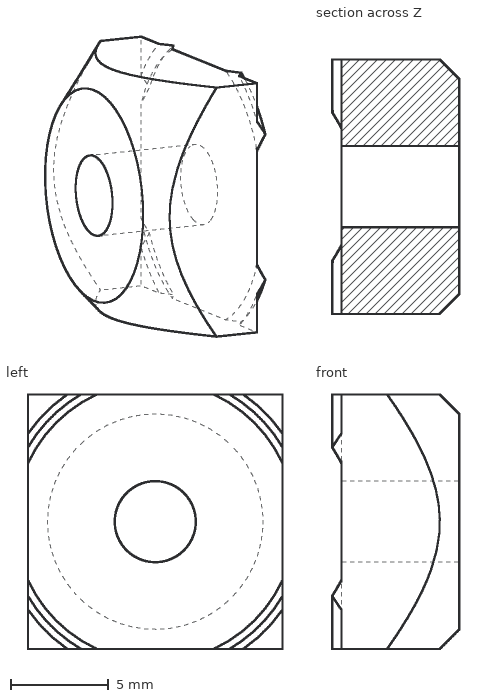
import cadquery as cq

side = 13.0
overall_length = 6.5
hole_diameter = 4.13
chamfer = 1.0

ridge_height = 0.475
ridge_inner_radius = 7.15
ridge_tip_radius = 7.525
ridge_outer_radius = 7.9

base_x = ridge_height
end_face_radius = side / 2 - chamfer
cone_base_radius = end_face_radius + overall_length - base_x


def turned_body():
    """Solid of revolution about X with the ridge at one end and the cone at the other."""
    profile = (
        cq.Workplane("XY")
        .moveTo(base_x, 0)
        .lineTo(base_x, ridge_inner_radius)
        .lineTo(0, ridge_tip_radius)
        .lineTo(base_x, ridge_outer_radius)
        .lineTo(base_x, cone_base_radius)
        .lineTo(overall_length, end_face_radius)
        .lineTo(overall_length, 0)
        .close()
    )
    return profile.revolve(360, (0, 0, 0), (1, 0, 0))


def square_bar():
    """Square envelope that trims the turned body to four flat sides."""
    return cq.Workplane("YZ").rect(side, side).extrude(overall_length)


def through_hole():
    """Cylinder to remove along the X axis."""
    return cq.Workplane("YZ").circle(hole_diameter / 2).extrude(overall_length)


result = turned_body().intersect(square_bar()).cut(through_hole())